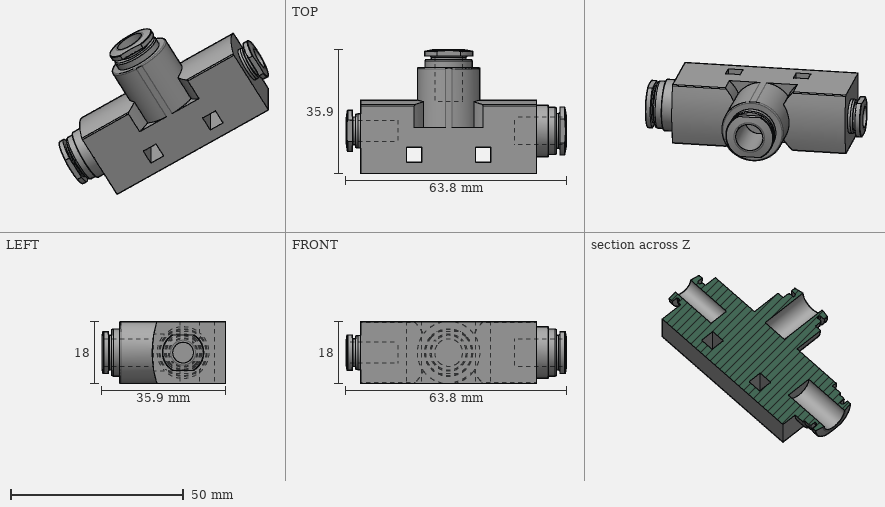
import cadquery as cq
import math

block_length = 51.0
block_height = 18.0
block_depth = 21.3
back_radius = 30.0
back_edge_chamfer = 0.3
half_height = block_height / 2
half_length = block_length / 2

hole_size = 4.3
hole_center_x = 10.0
hole_center_y = 5.45

stem_diameter = 18.1
stem_end_y = 30.7
stem_end_fillet = 0.35

pocket_floor_y = 13.3
pocket_half_width = 10.0
wall_center_x = 18.5
wall_radius = math.hypot(wall_center_x - pocket_half_width, half_height)

run_axis_y = 12.35
collar_diameter = 15.0
collar_length = 3.4
collar_fillet = 0.2
flange_edge_break = 0.15
bore_depth = 15.0

SMALL_COLLET = {
    "bore": 6.0,
    "rim": 7.2,
    "ring": 10.0,
    "ring_length": 1.4,
    "ring_chamfer": (0.6, 0.2),
    "neck": 8.1,
    "neck_length": 0.95,
    "flare": (0.15, 0.2),
    "flange": 12.0,
    "edge_length": 1.35,
    "crown_length": 0.5,
    "width_across_flats": 10.25,
}
LARGE_COLLET = {
    "bore": 8.0,
    "rim": 9.0,
    "ring": 13.8,
    "ring_length": 2.35,
    "ring_chamfer": (0.5, 0.25),
    "neck": 10.1,
    "neck_length": 0.95,
    "flare": (0.35, 0.35),
    "flange": 14.0,
    "edge_length": 1.3,
    "crown_length": 0.6,
    "width_across_flats": 12.2,
}


def collet(size, seat):
    """Release collet along +X starting at x = seat, and the cutter for its bore."""
    ring_radius = size["ring"] / 2
    neck_radius = size["neck"] / 2
    flange_radius = size["flange"] / 2
    rim_radius = size["rim"] / 2
    chamfer_axial, chamfer_radial = size["ring_chamfer"]
    flare_axial, flare_radial = size["flare"]

    ring_end = seat + size["ring_length"]
    flange_start = ring_end + size["neck_length"]
    edge_end = flange_start + size["edge_length"]
    tip = edge_end + size["crown_length"]

    body = (
        cq.Workplane("XY")
        .moveTo(seat, 0)
        .lineTo(seat, ring_radius)
        .lineTo(ring_end - chamfer_axial, ring_radius)
        .lineTo(ring_end, ring_radius - chamfer_radial)
        .lineTo(ring_end, neck_radius)
        .lineTo(flange_start - flare_axial, neck_radius)
        .lineTo(flange_start, neck_radius + flare_radial)
        .lineTo(flange_start, 0)
        .close()
        .revolve(360, (0, 0, 0), (1, 0, 0))
    )
    flange = (
        cq.Workplane("XY")
        .moveTo(flange_start, 0)
        .lineTo(flange_start, flange_radius)
        .lineTo(edge_end, flange_radius)
        .lineTo(edge_end + flange_edge_break, flange_radius - flange_edge_break)
        .lineTo(tip, rim_radius)
        .lineTo(tip, 0)
        .close()
        .revolve(360, (0, 0, 0), (1, 0, 0))
    )
    flats = cq.Workplane("XY").box(
        2 * tip, size["flange"], size["width_across_flats"]
    )
    bore = (
        cq.Workplane("YZ")
        .workplane(offset=tip - bore_depth)
        .circle(size["bore"] / 2)
        .extrude(bore_depth)
    )
    return body.union(flange.intersect(flats)), bore


def make_block():
    corner_sag = back_radius - math.sqrt(back_radius**2 - half_height**2)
    corner_y = block_depth - corner_sag
    block = (
        cq.Workplane("YZ")
        .workplane(offset=-half_length)
        .moveTo(0, -half_height)
        .lineTo(corner_y, -half_height)
        .threePointArc((block_depth, 0), (corner_y, half_height))
        .lineTo(0, half_height)
        .close()
        .extrude(block_length)
    )
    return block.edges("|X").edges(">Y").chamfer(back_edge_chamfer)


def make_pocket_cutter():
    """Hourglass between the two convex walls, from the pocket floor backwards."""
    waist = wall_center_x - wall_radius
    return (
        cq.Workplane("XZ")
        .workplane(offset=-pocket_floor_y)
        .moveTo(-pocket_half_width, half_height)
        .lineTo(pocket_half_width, half_height)
        .threePointArc((waist, 0), (pocket_half_width, -half_height))
        .lineTo(-pocket_half_width, -half_height)
        .threePointArc((-waist, 0), (-pocket_half_width, half_height))
        .close()
        .extrude(-block_depth)
    )


def make_stem():
    """Round stem with narrow flats flush with the top and bottom of the block."""
    length = stem_end_y - run_axis_y
    stem = (
        cq.Workplane("XZ")
        .workplane(offset=-run_axis_y)
        .circle(stem_diameter / 2)
        .extrude(-length)
        .faces(">Y")
        .edges()
        .fillet(stem_end_fillet)
    )
    limits = cq.Workplane("XY").box(stem_diameter, 2 * stem_end_y, block_height)
    return stem.intersect(limits)


def make_collar():
    return (
        cq.Workplane("YZ")
        .workplane(offset=half_length)
        .circle(collar_diameter / 2)
        .extrude(collar_length)
        .faces(">X")
        .edges()
        .fillet(collar_fillet)
        .translate((0, run_axis_y, 0))
    )


def make_square_holes():
    return (
        cq.Workplane("XY")
        .pushPoints([(-hole_center_x, hole_center_y), (hole_center_x, hole_center_y)])
        .rect(hole_size, hole_size)
        .extrude(half_height, both=True)
    )


def face_left(shape):
    return shape.rotate((0, 0, 0), (0, 0, 1), 180).translate((0, run_axis_y, 0))


def face_right(shape):
    return shape.translate((0, run_axis_y, 0))


def face_back(shape):
    return shape.rotate((0, 0, 0), (0, 0, 1), 90)


ports = [
    (SMALL_COLLET, half_length, face_left),
    (LARGE_COLLET, half_length + collar_length, face_right),
    (LARGE_COLLET, stem_end_y, face_back),
]

result = make_block().cut(make_pocket_cutter()).union(make_stem()).union(make_collar())
for size, seat, place in ports:
    collet_body, collet_bore = collet(size, seat)
    result = result.union(place(collet_body)).cut(place(collet_bore))
result = result.cut(make_square_holes())